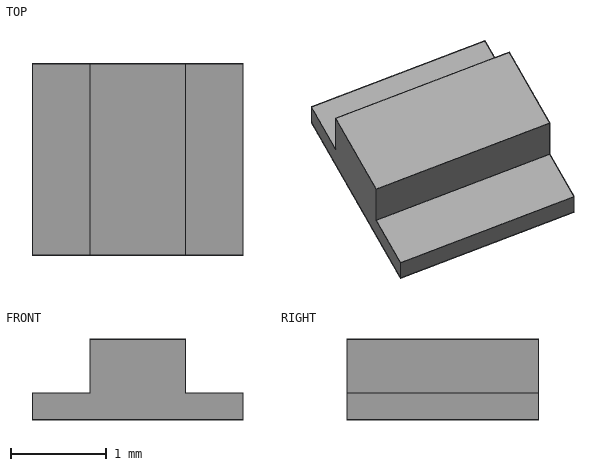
import cadquery as cq

base_length = 2.2
depth = 2.0
base_height = 0.28

rib_width = depth / 2
total_height = 0.84
rib_height = total_height - base_height

base = cq.Workplane("XY").box(base_length, depth, base_height, centered=(True, True, False))
rib = (
    cq.Workplane("XY")
    .workplane(offset=base_height)
    .box(rib_width, depth, rib_height, centered=(True, True, False))
)

result = base.union(rib)